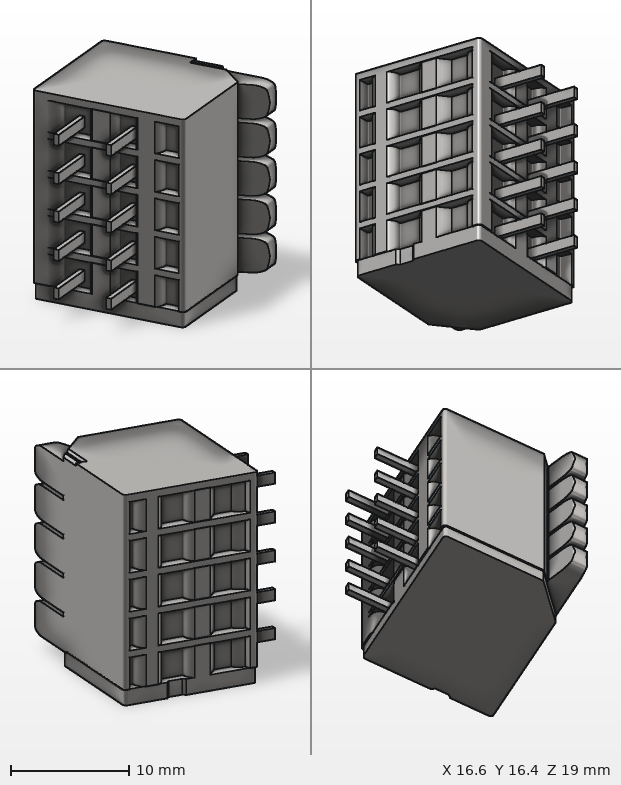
import cadquery as cq
import math


HEIGHT = 19.0
WIDTH = 14.5
DEPTH = 12.77
BASE_HEIGHT = 1.45
BASE_INSET = 0.11
CORNER_RADIUS = 0.32
CHAMFER_X = 3.32
CHAMFER_Y = 3.1

POLE_COUNT = 5
POLE_PITCH = 3.5
CELL_HEIGHT = 2.89
cell_bottoms = [BASE_HEIGHT + i * POLE_PITCH for i in range(POLE_COUNT)]

FLOOR_DEPTH = 1.1
FLOOR_FILLET = 0.1
SHOULDER_DEPTH = FLOOR_DEPTH - FLOOR_FILLET
RECESS = BASE_INSET

FRONT_WALL = (5.62, 7.33)
LEFT_WALL = (4.52, 5.98)

FRONT_FIRST_START = 1.48
FRONT_SECOND_END = 10.03
FRONT_THIRD = (11.68, 13.95)
LEFT_SECOND_END = 9.48
LEFT_THIRD = (10.65, 12.2)

FRONT_FIRST_RUNS = (SHOULDER_DEPTH, 0.44)
FRONT_SECOND_RUNS = (0.45, 0.5)
FRONT_THIRD_RUN = 0.48
LEFT_SECOND_RUNS = (0.59, 0.66)
LEFT_THIRD_RUN = 0.68
FLAT_SIDE_RUN = 0.1

LOBE_OPENING = (0.78, 0)
LOBE_TOP = (0.97, 0.57)
LOBE_MIDDLE = (1.77, 0.82)
LOBE_FOOT = (2.01, FLOOR_DEPTH)
RAMP_TOP = (4.25, 0.45)
RAMP_FOOT = (3.63, FLOOR_DEPTH)

PIN_WIDTH = 0.5
PIN_HEIGHT = 1.0
PIN_LENGTH = 3.6
PIN_CENTRES_X = (4.16, 9.15)
PIN_CENTRE_RISE = 1.1

LEVER_TIP_X = 16.59
LEVER_HEIGHT = 3.12
LEVER_ROOT_X = 10.64
LEVER_KNEE_X = 13.87
LEVER_KNEE_Y = 10.47
LEVER_TIP_Y = 11.4
LEVER_TIP_FILLET = 0.19
LEVER_TAPER_X = 15.15
LEVER_CORNER_X = 16.17
LEVER_CORNER_HALF = 1.33
LEVER_END_X = 16.45
LEVER_END_HALF = 0.99

GROOVE_START_Y = 6.78
GROOVE_END_Y = 8.6
GROOVE_SLOPE = 0.27
GROOVE_DEPTH = 0.23

NOTCH_START_X = 8.87
NOTCH_FLOOR = (
    (1.05, 0.0),
    (0.9, 0.08),
    (0.75, 0.17),
    (0.57, 0.15),
    (0.38, 0.05),
    (0.0, 0.23),
)


def block(inset, height):
    """Prism with a cut back right corner and three rounded corners."""
    right = WIDTH - inset
    back = DEPTH - inset
    outline = [
        (inset, inset),
        (right, inset),
        (right, DEPTH - CHAMFER_Y),
        (WIDTH - CHAMFER_X, back),
        (inset, back),
    ]
    prism = cq.Workplane("XY").polyline(outline).close().extrude(height)
    rounded_corners = cq.selectors.BoxSelector((-0.19, -0.19, 0), (0.19, DEPTH + 0.19, height))
    prism = prism.edges("|Z").edges(rounded_corners).fillet(CORNER_RADIUS)
    return prism.edges("|Z and >X").edges("<Y").fillet(CORNER_RADIUS)



def floor_fillet(foot, inward):
    """Small hollow arc that joins the foot of a wall to the pocket floor."""
    leg = FLOOR_FILLET * math.sqrt(0.5)
    centre = foot + inward * FLOOR_FILLET
    return [
        (foot, SHOULDER_DEPTH),
        (centre - inward * leg, SHOULDER_DEPTH + leg),
        (centre, FLOOR_DEPTH),
    ]


def rounded_side(edge, inward, run, edge_depth=0.0):
    """Wall that bulges into the pocket and turns straight down at its foot."""
    foot = edge + inward * run
    rise = SHOULDER_DEPTH - edge_depth
    radius = (run**2 + rise**2) / (2 * run)
    half_angle = math.acos(1 - run / radius) / 2
    middle = (
        foot - inward * radius * (1 - math.cos(half_angle)),
        SHOULDER_DEPTH - radius * math.sin(half_angle),
    )
    strokes = [
        [(edge, edge_depth), middle, (foot, SHOULDER_DEPTH)],
        floor_fillet(foot, inward),
    ]
    if edge_depth > 0:
        strokes.insert(0, [(edge, 0), (edge, edge_depth)])
    return strokes


def flat_side(edge, inward, run):
    """Flat, slightly leaning wall."""
    foot = edge + inward * run
    return [[(edge, 0), (foot, SHOULDER_DEPTH)], floor_fillet(foot, inward)]


def pocket(low_side, high_side, on_left):
    """Cutter one cell high, sunk into the left face or else the front face."""
    opening = [low_side[0][0], high_side[0][0]]
    floor = [low_side[-1][-1], high_side[-1][-1]]
    edges = []
    for stroke in low_side + high_side + [opening, floor]:
        points = [cq.Vector(d, a) if on_left else cq.Vector(a, d) for a, d in stroke]
        make_edge = cq.Edge.makeLine if len(points) == 2 else cq.Edge.makeThreePointArc
        edges.append(make_edge(*points))
    outline = cq.Wire.assembleEdges(edges)
    return cq.Workplane("XY").add(outline).toPending().extrude(CELL_HEIGHT)


def front_cutters():
    """Three pockets of one front cell and the recessed wall between the first two."""
    wall_start, wall_end = FRONT_WALL
    recess = cq.Workplane("XY").box(wall_end - wall_start, RECESS, CELL_HEIGHT, centered=False)
    first_sides = (
        rounded_side(FRONT_FIRST_START, 1, FRONT_FIRST_RUNS[0]),
        rounded_side(wall_start, -1, FRONT_FIRST_RUNS[1], RECESS),
    )
    second_sides = (
        rounded_side(wall_end, 1, FRONT_SECOND_RUNS[0], RECESS),
        rounded_side(FRONT_SECOND_END, -1, FRONT_SECOND_RUNS[1]),
    )
    third_sides = (
        rounded_side(FRONT_THIRD[0], 1, FRONT_THIRD_RUN),
        flat_side(FRONT_THIRD[1], -1, FLAT_SIDE_RUN),
    )
    pockets = [pocket(*sides, on_left=False) for sides in (first_sides, second_sides, third_sides)]
    return pockets + [recess.translate((wall_start, 0, 0))]


def left_cutters():
    """Three pockets of one left cell and the recessed wall between the first two."""
    wall_start, wall_end = LEFT_WALL
    recess = cq.Workplane("XY").box(RECESS, wall_end - wall_start, CELL_HEIGHT, centered=False)
    lobe_side = [
        [LOBE_OPENING, LOBE_TOP],
        [LOBE_TOP, LOBE_MIDDLE, LOBE_FOOT],
    ]
    ramp_side = [
        [(wall_start, 0), (wall_start, RECESS)],
        [(wall_start, RECESS), RAMP_TOP],
        [RAMP_TOP, RAMP_FOOT],
    ]
    second_sides = (
        rounded_side(wall_end, 1, LEFT_SECOND_RUNS[0], RECESS),
        rounded_side(LEFT_SECOND_END, -1, LEFT_SECOND_RUNS[1]),
    )
    third_sides = (
        rounded_side(LEFT_THIRD[0], 1, LEFT_THIRD_RUN),
        flat_side(LEFT_THIRD[1], -1, FLAT_SIDE_RUN),
    )
    first_sides = (lobe_side, ramp_side)
    pockets = [pocket(*sides, on_left=True) for sides in (first_sides, second_sides, third_sides)]
    return pockets + [recess.translate((0, wall_start, 0))]


def pins():
    """Pair of pins of one cell, rooted inside the block."""
    root = 2 * FLOOR_DEPTH
    pair = cq.Workplane("XY")
    for centre_x in PIN_CENTRES_X:
        pin = cq.Workplane("XY").box(PIN_WIDTH, PIN_LENGTH + root, PIN_HEIGHT)
        pair = pair.add(pin.translate((centre_x, (root - PIN_LENGTH) / 2, PIN_CENTRE_RISE)))
    return pair


def lever():
    """Wedge-shaped lever whose free end narrows in height with rounded corners."""
    half = LEVER_HEIGHT / 2
    wedge = (
        cq.Workplane("XY")
        .polyline([
            (LEVER_ROOT_X, DEPTH),
            (LEVER_ROOT_X, LEVER_KNEE_Y),
            (LEVER_KNEE_X, LEVER_KNEE_Y),
            (LEVER_TIP_X, LEVER_TIP_Y),
            (LEVER_TIP_X, DEPTH),
        ])
        .close()
        .extrude(half, both=True)
        .faces(">X").edges("|Z").fillet(LEVER_TIP_FILLET)
    )
    tip = (
        cq.Workplane("XZ", origin=(0, DEPTH, 0))
        .moveTo(LEVER_ROOT_X, half)
        .lineTo(LEVER_TAPER_X, half)
        .tangentArcPoint((LEVER_CORNER_X, LEVER_CORNER_HALF), relative=False)
        .tangentArcPoint((LEVER_END_X, LEVER_END_HALF), relative=False)
        .tangentArcPoint((LEVER_TIP_X, 0), relative=False)
        .lineTo(LEVER_ROOT_X, 0)
        .close()
        .extrude(DEPTH)
    )
    return wedge.intersect(tip.union(tip.mirror("XY")))


def base_groove():
    """Groove with slanted sides, up the full height of the base."""
    bottom = BASE_INSET + GROOVE_DEPTH
    return (
        cq.Workplane("XY")
        .polyline([
            (0, GROOVE_START_Y),
            (BASE_INSET, GROOVE_START_Y),
            (bottom, GROOVE_START_Y + GROOVE_SLOPE),
            (bottom, GROOVE_END_Y - GROOVE_SLOPE),
            (BASE_INSET, GROOVE_END_Y),
            (0, GROOVE_END_Y),
        ])
        .close()
        .extrude(BASE_HEIGHT)
    )


def grip_notch():
    """Notch whose floor dips to a valley, rises to a crest and falls to the back face."""
    floor = [(DEPTH - from_back, HEIGHT - below_top) for from_back, below_top in NOTCH_FLOOR]
    return (
        cq.Workplane("YZ", origin=(NOTCH_START_X, 0, 0))
        .polyline(floor + [(DEPTH, HEIGHT)])
        .close()
        .extrude(WIDTH - NOTCH_START_X)
    )


housing = block(0, HEIGHT - BASE_HEIGHT).translate((0, 0, BASE_HEIGHT))
base = block(BASE_INSET, BASE_HEIGHT).cut(base_groove())
result = housing.cut(grip_notch())

cell_cutters = front_cutters() + left_cutters()
for bottom in cell_bottoms:
    for cutter in cell_cutters:
        result = result.cut(cutter.translate((0, 0, bottom)))

result = result.union(base)
for bottom in cell_bottoms:
    result = result.union(pins().translate((0, 0, bottom)))
    result = result.union(lever().translate((0, 0, bottom + CELL_HEIGHT / 2)))